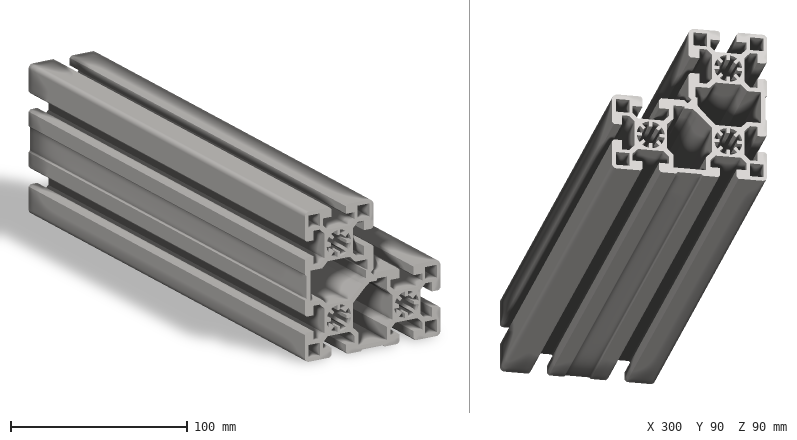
import cadquery as cq

length = 300.0
cell = 45.0
side = 2 * cell
half_cell = cell / 2
near = half_cell
far = near + cell
corner_radius = 2.7

wall_rise = 0.5
inner_wall = cell + wall_rise
wall_corner_radius = 3.3

notch_reach = 2.5
notch_wall = inner_wall + notch_reach
notch_depth = 1.8

mouth_half = 4.8
mouth_chamfer = 1.2
lip_depth = 5.7
slot_half = 10.5
core_half = 19.0 / 2
web_offset = 2.0

tube_size = 7.8
tube_wall = 2.25

bore_radius = 8.0
tooth_tip_radius = 5.0
tooth_width = 1.95
tooth_count = 8

outer_wall = 3.5
end_wall = 2.55
chamber_end = slot_half + end_wall
chamber_top = inner_wall - 4.0
pad_face = chamber_top - 1.2
pad_end = cell - 1.8
brace_start = cell - 4.8

recess_half = 7.8
recess_depth = 1.0


def prism(points):
    return cq.Workplane("YZ").polyline(points).close().extrude(length)


def mirrored(points):
    """Reflect points about the diagonal symmetry plane Y = Z."""
    return [(z, y) for y, z in points]


def turned(solid, angle):
    """Turn a solid about the X axis."""
    return solid.rotate((0, 0, 0), (1, 0, 0), angle)


def round_corners(solid, corners, radius):
    """Fillet the lengthwise edges that pass through the given corners."""
    for y, z in corners:
        edge = cq.selectors.NearestToPointSelector((length / 2, y, z))
        solid = solid.edges("|X").edges(edge).fillet(radius)
    return solid


def body():
    outer_corners = [(side, 0), (0, 0), (0, side)]
    wall_corners = [(inner_wall, side), (side, inner_wall)]
    notch_high = notch_wall - notch_depth
    notch_low = inner_wall - notch_depth
    notch = [
        (inner_wall, notch_wall),
        (notch_low, notch_high),
        (notch_high, notch_low),
        (notch_wall, inner_wall),
    ]
    solid = prism(outer_corners + wall_corners[:1] + notch + wall_corners[1:])
    solid = round_corners(solid, outer_corners, corner_radius)
    return round_corners(solid, wall_corners, wall_corner_radius)


def t_slot(y, z, angle, rise):
    """T-slot opening towards +Z of the cell at (y, z), then turned about the cell centre.

    rise is how far the slotted face stands proud of the cell square.
    """
    face = half_cell + rise
    lip = half_cell - lip_depth
    half_outline = [
        (mouth_half + mouth_chamfer, face),
        (mouth_half, face - mouth_chamfer),
        (mouth_half, lip),
        (slot_half, lip),
        (slot_half, slot_half + web_offset),
        (core_half - web_offset, core_half),
    ]
    other_half = [(-u, v) for u, v in reversed(half_outline)]
    return turned(prism(half_outline + other_half), angle).translate((0, y, z))


def toothed_bore(y, z):
    bore = cq.Workplane("YZ").circle(bore_radius).extrude(length)
    half_width = tooth_width / 2
    tooth = prism([
        (tooth_tip_radius, -half_width),
        (core_half, -half_width),
        (core_half, half_width),
        (tooth_tip_radius, half_width),
    ])
    for i in range(tooth_count):
        bore = bore.cut(turned(tooth, i * 360 / tooth_count))
    return bore.translate((0, y, z))


def chamber_points():
    """Outline of the chamber between the corner cell and the far cell along Y."""
    left = near + chamber_end
    right = far - chamber_end
    end_web = chamber_end - web_offset
    core_web = core_half - web_offset
    return [
        (left, outer_wall),
        (right, outer_wall),
        (right, near - end_web),
        (far - core_half, near - core_web),
        (far - core_half, near + core_web),
        (right, near + end_web),
        (right, chamber_top),
        (notch_wall, chamber_top),
        (notch_wall, pad_face),
        (pad_end, pad_face),
        (brace_start, brace_start - web_offset),
        (near + core_half, near + core_web),
        (near + core_half, near - core_web),
        (left, near - end_web),
    ]


recess_points = [
    (cell - recess_half, 0),
    (cell - recess_half + recess_depth, recess_depth),
    (cell + recess_half - recess_depth, recess_depth),
    (cell + recess_half, 0),
]

slots = [
    (near, near, 90, 0),
    (near, near, 180, 0),
    (far, near, 0, wall_rise),
    (far, near, 180, 0),
    (far, near, 270, 0),
    (near, far, 0, 0),
    (near, far, 90, 0),
    (near, far, 270, wall_rise),
]

tube_inset = tube_wall + tube_size / 2
tube_centres = [
    (tube_inset, tube_inset),
    (side - tube_inset, tube_inset),
    (side - tube_inset, cell - tube_inset),
    (tube_inset, side - tube_inset),
    (cell - tube_inset, side - tube_inset),
]

result = body()
for y, z, angle, rise in slots:
    result = result.cut(t_slot(y, z, angle, rise))
for y, z in [(near, near), (far, near), (near, far)]:
    result = result.cut(toothed_bore(y, z))
for points in (chamber_points(), recess_points):
    result = result.cut(prism(points)).cut(prism(mirrored(points)))
tubes = cq.Workplane("YZ").pushPoints(tube_centres).rect(tube_size, tube_size).extrude(length)
result = result.cut(tubes)